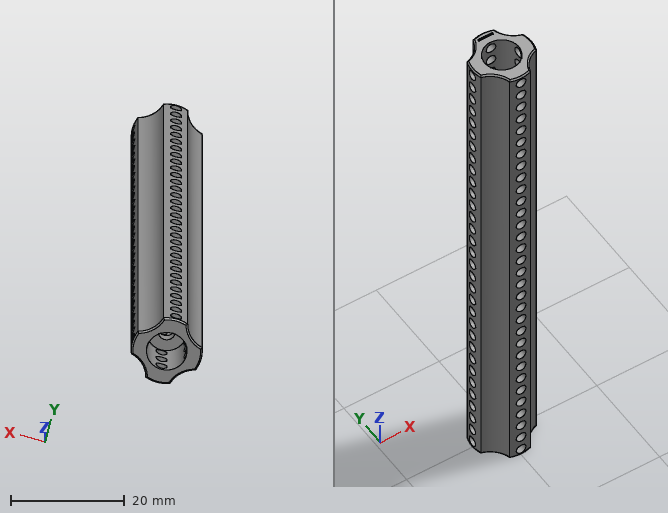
import cadquery as cq
import math

length = 100.0
outer_diameter = 12.5

lobe_width = 4.4
flute_depth = 0.7
lobe_count = 4
end_chamfer = 0.3

mark_length = 3.0
mark_width = 0.4
mark_depth = 0.3
mark_offset = 5.1

bore_diameter = 7.1
web_top = 11.0
web_thickness = 2.0
web_hole_diameter = 3.0

side_hole_diameter = 2.0
holes_per_row = 32
hole_pitch = length / holes_per_row
side_hole_inner_reach = 3.0

outer_radius = outer_diameter / 2
lobe_angle = 360 / lobe_count


def polar_point(radius, angle):
    """Point at a radius and an angle in degrees from +X."""
    return (radius * math.cos(math.radians(angle)), radius * math.sin(math.radians(angle)))


def fluted_bar():
    """Solid bar with round-topped lobes separated by concave flutes."""
    half_lobe = math.degrees(math.asin(lobe_width / 2 / outer_radius))
    half_flute = lobe_angle / 2 - half_lobe
    flute_floor_radius = outer_radius * math.cos(math.radians(half_flute)) - flute_depth

    outline = cq.Workplane("XY").moveTo(*polar_point(outer_radius, -half_lobe))
    for index in range(lobe_count):
        center = index * lobe_angle
        outline = outline.threePointArc(
            polar_point(outer_radius, center),
            polar_point(outer_radius, center + half_lobe),
        )
        outline = outline.threePointArc(
            polar_point(flute_floor_radius, center + lobe_angle / 2),
            polar_point(outer_radius, center + lobe_angle - half_lobe),
        )
    bar = outline.close().extrude(length)
    return bar.faces("<Z or >Z").chamfer(end_chamfer)


def cylinder(diameter, bottom, top):
    """Cylinder on the bar axis between two heights."""
    return cq.Workplane("XY").workplane(offset=bottom).circle(diameter / 2).extrude(top - bottom)


def index_mark():
    """Shallow straight groove in the top face."""
    return (
        cq.Workplane("XY")
        .workplane(offset=length - mark_depth)
        .center(0, mark_offset)
        .rect(mark_length, mark_width)
        .extrude(mark_depth)
    )


def side_holes():
    """One row of radial holes per lobe, evenly pitched along the bar."""
    heights = [(index + 0.5) * hole_pitch for index in range(holes_per_row)]
    row = (
        cq.Workplane("YZ")
        .workplane(offset=side_hole_inner_reach)
        .pushPoints([(0, height) for height in heights])
        .circle(side_hole_diameter / 2)
        .extrude(outer_radius)
    )
    rows = [row.rotate((0, 0, 0), (0, 0, 1), index * lobe_angle) for index in range(lobe_count)]
    return [hole for one_row in rows for hole in one_row.vals()]


web_bottom = web_top - web_thickness

body = fluted_bar()
body = body.cut(cylinder(bore_diameter, web_top, length))
body = body.cut(cylinder(bore_diameter, 0, web_bottom))
body = body.cut(cylinder(web_hole_diameter, web_bottom, web_top))
body = body.cut(index_mark())
for hole in side_holes():
    body = body.cut(cq.Workplane(obj=hole))

result = body